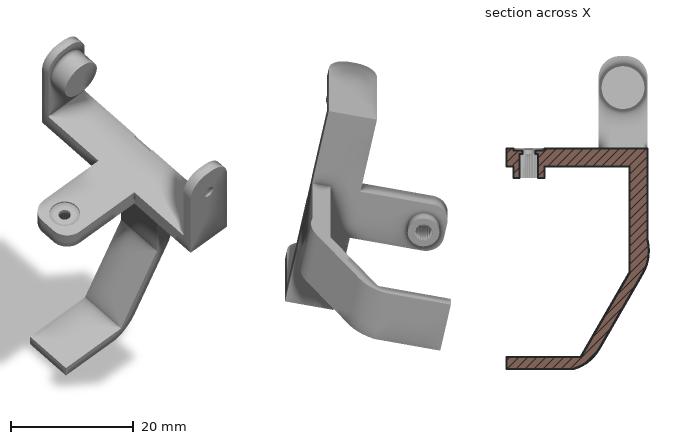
import cadquery as cq
import math


plate_length = 36.05
plate_depth = 8.0
plate_thickness = 3.0
ear_height = 18.0
left_ear_thickness = 1.5
right_ear_thickness = 1.75
ear_corner_radius = 3.5
pivot_drop = 5.15
pivot_boss_diameter = 7.0
pivot_boss_length = 3.5
pivot_hole_diameter = 2.0

arm_width = 8.7
arm_length = 15.05
arm_corner_radius = 3.0
socket_setback = 3.65
socket_boss_diameter = 5.15
socket_boss_height = 1.9
head_recess_diameter = 5.0
head_recess_depth = 0.3
screw_hole_diameter = 2.0
screw_hole_length = 0.65
socket_bore_diameter = 2.5
spline_groove_diameter = 0.45
spline_groove_count = 20

total_height = 51.0
leg_thickness = 3.0
strut_top_drop = 30.05
strut_angle = math.radians(30)
strut_thickness = 2.0
strut_end_radius = 7.15
foot_thickness = 2.0

notch_length = 3.95
notch_depth = 0.5
notch_drop = 0.25
notch_center_x = -2.1

plate_bottom = -ear_height
plate_top = plate_bottom + plate_thickness
half_length = plate_length / 2
arm_tip = -(plate_depth + arm_length)
socket_y = arm_tip + socket_setback
pivot_y = -plate_depth / 2


def block(x_min, x_max, y_min, y_max, z_min, z_max):
    size = (x_max - x_min, y_max - y_min, z_max - z_min)
    return cq.Workplane("XY").box(*size, centered=False).translate((x_min, y_min, z_min))


def disc(diameter, z_bottom, z_top):
    """Vertical cylinder on the socket axis."""
    base = cq.Workplane("XY", origin=(0, socket_y, z_bottom))
    return base.circle(diameter / 2).extrude(z_top - z_bottom)


def pivot_cylinder(diameter, x_start, length):
    """Cylinder along +X on the pivot axis."""
    base = cq.Workplane("YZ", origin=(x_start, pivot_y, -pivot_drop))
    return base.circle(diameter / 2).extrude(length)


def ear(x_min, thickness):
    plate = block(x_min, x_min + thickness, -plate_depth, 0, plate_bottom, 0)
    return plate.edges("|X and >Z").fillet(ear_corner_radius)


def yoke():
    plate = block(-half_length, half_length, -plate_depth, 0, plate_bottom, plate_top)
    left_ear = ear(-half_length, left_ear_thickness)
    right_ear = ear(half_length - right_ear_thickness, right_ear_thickness)
    boss = pivot_cylinder(pivot_boss_diameter, -half_length + left_ear_thickness, pivot_boss_length)
    hole = pivot_cylinder(pivot_hole_diameter, half_length - right_ear_thickness, right_ear_thickness)
    return plate.union(left_ear).union(right_ear.cut(hole)).union(boss)


def arm():
    bar = block(-arm_width / 2, arm_width / 2, arm_tip, 0, plate_bottom, plate_top)
    bar = bar.edges("|Z and <Y").fillet(arm_corner_radius)
    boss = disc(socket_boss_diameter, plate_bottom - socket_boss_height, plate_bottom)
    return bar.union(boss)


def socket_cutter():
    """Screw head recess, screw hole and grooved bore, from the top down."""
    recess_floor = plate_top - head_recess_depth
    bore_top = recess_floor - screw_hole_length
    bore_bottom = plate_bottom - socket_boss_height
    recess = disc(head_recess_diameter, recess_floor, plate_top)
    screw_hole = disc(screw_hole_diameter, bore_top, recess_floor)
    bore = disc(socket_bore_diameter, bore_bottom, bore_top)
    grooves = (
        cq.Workplane("XY", origin=(0, socket_y, bore_bottom))
        .polarArray(socket_bore_diameter / 2, 0, 360, spline_groove_count)
        .circle(spline_groove_diameter / 2)
        .extrude(bore_top - bore_bottom)
    )
    return recess.union(screw_hole).union(bore.union(grooves))


def side_profile():
    """YZ workplane at the -X flank of the leg."""
    return cq.Workplane("YZ", origin=(-arm_width / 2, 0, 0))


def strut():
    """Slanted bar whose outer face curves in to the inner face at both ends."""
    length = (total_height - strut_top_drop) / math.cos(strut_angle)
    curve_run = math.sqrt(strut_end_radius**2 - (strut_end_radius - strut_thickness) ** 2)
    half_sweep = math.asin(curve_run / strut_end_radius) / 2
    mid_run = curve_run - strut_end_radius * math.sin(half_sweep)
    mid_rise = strut_thickness - strut_end_radius * (1 - math.cos(half_sweep))

    def point(along, outward):
        y = -along * math.sin(strut_angle) + outward * math.cos(strut_angle)
        z = -strut_top_drop - along * math.cos(strut_angle) - outward * math.sin(strut_angle)
        return (y, z)

    return (
        side_profile()
        .moveTo(*point(0, 0))
        .threePointArc(point(mid_run, mid_rise), point(curve_run, strut_thickness))
        .lineTo(*point(length - curve_run, strut_thickness))
        .threePointArc(point(length - mid_run, mid_rise), point(length, 0))
        .close()
        .extrude(arm_width)
    )


def leg():
    """Upright that ends on the inner face of the strut."""
    inner_drop = strut_top_drop + leg_thickness / math.tan(strut_angle)
    outline = [
        (0, plate_bottom),
        (0, -strut_top_drop),
        (-leg_thickness, -inner_drop),
        (-leg_thickness, plate_bottom),
    ]
    return side_profile().polyline(outline).close().extrude(arm_width)


def foot():
    """Flat toe that starts on the inner face of the strut."""
    heel_y = -(total_height - strut_top_drop) * math.tan(strut_angle)
    foot_top = -total_height + foot_thickness
    outline = [
        (heel_y, -total_height),
        (heel_y + foot_thickness * math.tan(strut_angle), foot_top),
        (arm_tip, foot_top),
        (arm_tip, -total_height),
    ]
    return side_profile().polyline(outline).close().extrude(arm_width)


def notch():
    base = cq.Workplane("YZ", origin=(notch_center_x - notch_length / 2, 0, plate_top))
    return base.polyline([(0, 0), (-notch_depth, 0), (0, -notch_drop)]).close().extrude(notch_length)


result = yoke().union(arm()).union(leg()).union(strut()).union(foot())
result = result.cut(socket_cutter()).cut(notch())